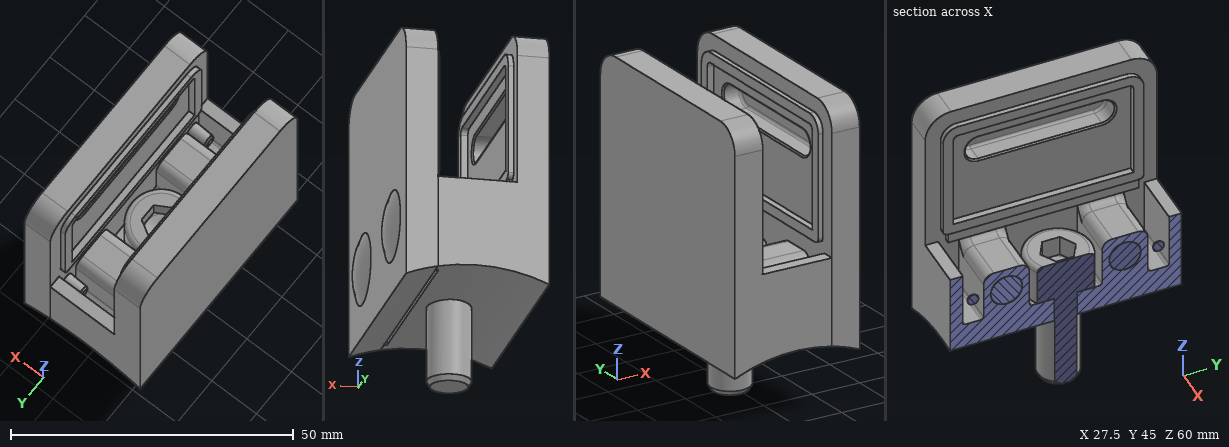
import cadquery as cq
import math

clamp_depth = 26.0
clamp_width = 45.0
clamp_height = 47.6
wall = 5.8
corner_radius = 5.0
saddle_rise = 2.6

mid_x = clamp_depth / 2
plate_x = clamp_depth - wall
tolerance = 0.01
saddle_radius = (mid_x**2 + saddle_rise**2) / (2 * saddle_rise)

base_top = 18.75
floor_z = 7.6
recess_width = 40.0
floor_radius = 0.5
drain_gap = 0.6

screw_z = 12.65
screw_spacing = 23.0
boss_width = 9.0
boss_top = 17.4
boss_edge_radius = 2.0
boss_root_radius = 2.0
dome_diameter = 13.0
dome_height = 1.5
shank_diameter = 6.0
shank_length = 16.0
pin_spacing = 36.0
pin_length = 4.1
pin_root_diameter = 2.8
pin_end_diameter = 2.4
pin_chamfer = 0.2
pin_chamfer_length = 0.4

gasket_width = 39.0
gasket_height = 24.0
gasket_top = clamp_height - 3.0
gasket_proud = 1.0
gasket_sunk = 0.3
gasket_top_radius = 3.0
gasket_bottom_radius = 1.0
gasket_border = 2.0
gasket_bottom = gasket_top - gasket_height
gasket_mid_z = gasket_top - gasket_height / 2
slot_length = 29.0
slot_width = 5.0
slot_depth = 3.8
slot_z = clamp_height - 10.5
slot_mouth_chamfer = 0.3
slot_floor_radius = 0.5
ledge_width = gasket_width - 2 * gasket_bottom_radius

bolt_diameter = 8.0
bolt_length = 20.0
bolt_head_diameter = 13.0
bolt_head_height = 8.0
bolt_head_radius = 1.0
bolt_tip_chamfer = 0.6
bolt_tip_length = 1.0
hex_flats = 6.0
hex_depth = 4.0
drill_point_depth = hex_flats / 2 * math.tan(math.radians(15))


def block(x_start, x_end, y_size, z_start, z_end):
    """Box centred on Y = 0."""
    size = (x_end - x_start, y_size, z_end - z_start)
    return cq.Workplane("XY").box(*size, centered=(False, True, False)).translate((x_start, 0, z_start))


def cheek(x_start):
    """Side plate with two rounded top corners."""
    plate = block(x_start, x_start + wall, clamp_width, 0, clamp_height)
    return plate.edges("|X and >Z").edges("<Y or >Y").fillet(corner_radius)


def cut_saddle(body):
    """Hollow the underside to sit on a round rail along Y."""
    rail = (
        cq.Workplane("XZ")
        .center(mid_x, saddle_rise - saddle_radius)
        .circle(saddle_radius)
        .extrude(clamp_width, both=True)
    )
    return body.cut(rail)


def edges_within(low_corner, high_corner):
    """Selector of the edges lying wholly inside a box, with a little slack on every side."""
    slack = cq.Vector(tolerance, tolerance, tolerance)
    low = cq.Vector(*low_corner) - slack
    high = cq.Vector(*high_corner) + slack
    return cq.selectors.BoxSelector(low.toTuple(), high.toTuple(), boundingbox=True)


def mirrored(body):
    """Swap the removable cheek's side for the fixed cheek's side."""
    return body.mirror("YZ", (mid_x, 0, 0))


def gasket_outline():
    thickness = gasket_proud + gasket_sunk
    frame = block(plate_x - gasket_proud, plate_x + gasket_sunk, gasket_width, gasket_bottom, gasket_top)
    frame = frame.edges("|X and >Z").fillet(gasket_top_radius)
    frame = frame.edges("|X and <Z").fillet(gasket_bottom_radius)
    window = (
        cq.Workplane("YZ", origin=(plate_x - gasket_proud, 0, gasket_mid_z))
        .rect(gasket_width - 2 * gasket_border, gasket_height - 2 * gasket_border)
        .extrude(thickness)
        .edges("|X and >Z")
        .fillet(gasket_top_radius - gasket_border)
    )
    return frame, window


def cheek_slot():
    """Blind slot with a rounded edge to its floor."""
    mouth_x = plate_x + gasket_sunk
    slot = (
        cq.Workplane("YZ", origin=(mouth_x, 0, slot_z))
        .slot2D(slot_length, slot_width)
        .extrude(slot_depth)
        .faces(">X")
        .edges()
        .fillet(slot_floor_radius)
    )
    return slot


def cut_inner_face(plate):
    """Gasket recess and slot in the inner face of the removable cheek."""
    plate = plate.cut(gasket_frame).cut(gasket_window).cut(cheek_slot())
    mouth_x = plate_x + gasket_sunk
    mouth = edges_within(
        (mouth_x, -slot_length / 2, slot_z - slot_width / 2),
        (mouth_x, slot_length / 2, slot_z + slot_width / 2),
    )
    return plate.edges(mouth).chamfer(slot_mouth_chamfer)


gasket_frame, gasket_window = gasket_outline()
gasket = gasket_frame.cut(gasket_window)
gaskets = [gasket, mirrored(gasket)]

screw_ys = [-screw_spacing / 2, screw_spacing / 2]
pin_ys = [-pin_spacing / 2, pin_spacing / 2]


def make_screw(y):
    head_radius = dome_diameter / 2
    shank_radius = shank_diameter / 2
    sphere_radius = (head_radius**2 + dome_height**2) / (2 * dome_height)
    half_angle = math.asin(head_radius / sphere_radius) / 2
    sphere_x = dome_height - sphere_radius
    mid_point = (sphere_x + sphere_radius * math.cos(half_angle), sphere_radius * math.sin(half_angle))
    screw = (
        cq.Workplane("XY")
        .moveTo(-shank_length, 0)
        .lineTo(-shank_length, shank_radius)
        .lineTo(0, shank_radius)
        .lineTo(0, head_radius)
        .threePointArc(mid_point, (dome_height, 0))
        .close()
        .revolve(360, (0, 0, 0), (1, 0, 0))
    )
    return screw.translate((clamp_depth, y, screw_z))


screws = [make_screw(y) for y in screw_ys]


def make_bolt():
    shank_radius = bolt_diameter / 2
    tip_z = floor_z - bolt_length
    head_top = floor_z + bolt_head_height
    profile = [
        (0, tip_z),
        (shank_radius - bolt_tip_chamfer, tip_z),
        (shank_radius, tip_z + bolt_tip_length),
        (shank_radius, floor_z),
        (bolt_head_diameter / 2, floor_z),
        (bolt_head_diameter / 2, head_top),
        (0, head_top),
    ]
    bolt = cq.Workplane("XZ").polyline(profile).close().revolve(360, (0, 0, 0), (0, 1, 0))
    bolt = bolt.edges(">Z").fillet(bolt_head_radius)
    corner_diameter = hex_flats / math.cos(math.radians(30))
    socket = (
        cq.Workplane("XY", origin=(0, 0, head_top - hex_depth))
        .transformed(rotate=(0, 0, 90))
        .polygon(6, corner_diameter)
        .extrude(hex_depth)
    )
    drill_point = cq.Workplane(
        cq.Solid.makeCone(
            hex_flats / 2,
            0,
            drill_point_depth,
            pnt=cq.Vector(0, 0, head_top - hex_depth),
            dir=cq.Vector(0, 0, -1),
        )
    )
    return bolt.cut(socket).cut(drill_point).translate((mid_x, 0, 0))


bolt = make_bolt()


def locating_pin(y):
    end_radius = pin_end_diameter / 2
    profile = [
        (0, 0),
        (pin_root_diameter / 2, 0),
        (end_radius, pin_length - pin_chamfer_length),
        (end_radius - pin_chamfer, pin_length),
        (0, pin_length),
    ]
    pin = cq.Workplane("XY").polyline(profile).close().revolve(360, (0, 0, 0), (0, 1, 0))
    return pin.rotate((0, 0, 0), (0, 0, 1), 90).translate((plate_x, y, screw_z))


def make_plate():
    plate = cut_inner_face(cut_saddle(cheek(plate_x)))
    for y in pin_ys:
        plate = plate.union(locating_pin(y))
    for screw in screws:
        plate = plate.cut(screw)
    return plate


plate = make_plate()


def make_boss(y):
    """Round-topped boss, its top blended into the fixed cheek between the planes of its sides."""
    end_x = plate_x - drain_gap
    half_width = boss_width / 2
    boss = block(wall, end_x, boss_width, floor_z, boss_top).translate((0, y, 0))
    boss = boss.edges("|X and >Z").fillet(boss_edge_radius)
    boss = boss.union(block(0, wall, clamp_width, 0, clamp_height))
    root = edges_within(
        (wall, y - half_width, boss_top - boss_edge_radius),
        (wall, y + half_width, boss_top),
    )
    boss = boss.edges(root).fillet(boss_root_radius)
    envelope = block(wall, end_x, boss_width, floor_z, boss_top + boss_root_radius)
    return boss.intersect(envelope.translate((0, y, 0)))


def fillet_boss_foot(body, y):
    """Round the two corners between a boss and the recess floor."""
    foot = edges_within(
        (wall, y - boss_width / 2, floor_z),
        (plate_x - drain_gap, y + boss_width / 2, floor_z),
    )
    return body.edges(foot).edges("|X").fillet(floor_radius)


def make_housing():
    housing = mirrored(cut_inner_face(cheek(plate_x)))
    housing = housing.union(block(wall, plate_x, clamp_width, 0, base_top))
    recess = block(wall, plate_x, recess_width, floor_z, base_top)
    housing = housing.cut(recess.edges("|X and <Z").fillet(floor_radius))
    housing = housing.cut(block(plate_x - drain_gap, plate_x, recess_width, 0, base_top))
    for y in screw_ys:
        housing = fillet_boss_foot(housing.union(make_boss(y)), y)
    ledge = block(wall, wall + gasket_proud, ledge_width, base_top, gasket_bottom)
    housing = cut_saddle(housing.union(ledge))
    for fastener in [bolt, *screws]:
        housing = housing.cut(fastener)
    return housing


housing = make_housing()

bodies = [housing, plate, bolt, *screws, *gaskets]
result = cq.Compound.makeCompound([body.val() for body in bodies])